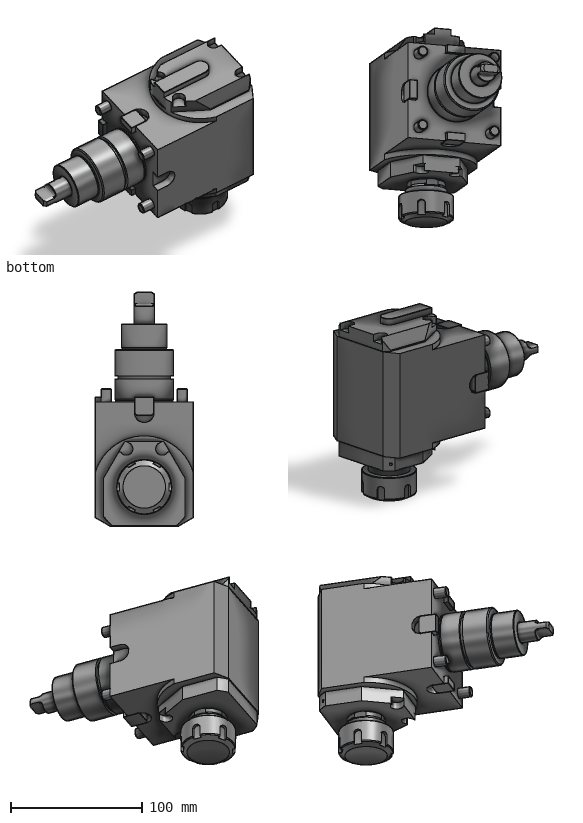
import cadquery as cq
import math


WIDTH = 75.0
HALF = WIDTH / 2
BACK_Y = 95.0
TALL_HALF = 42.0
CORNER_X = 11.5
CORNER_ANGLE = math.radians(30)
CORNER_Y = CORNER_X * math.tan(CORNER_ANGLE)
SPINDLE_Y = 65.0
DISC_R = 39.0

PLATE_BACK_Y = 94.3
PLATE_ANGLE = math.radians(60)
TOP_PLATE_Z = 53.0
TOP_PLATE_HALF = 29.0
TOP_PLATE_FRONT_Y = 27.0
TOP_PLATE_SIDE_FRONT_Y = 54.6
TOP_PLATE_RIM = 1.0
TOP_PLATE_CORNER = 4.25
BEVEL_ANGLE = math.radians(30)
BOTTOM_PLATE_Z = -54.0
BOTTOM_PLATE_HALF = 31.1
BOTTOM_PLATE_FRONT_Y = 30.2
BOTTOM_PLATE_SIDE_FRONT_Y = 58.3
BOTTOM_PLATE_R = 38.4

FRONT_SEAT_R = 4.9
BACK_SEAT_R = 4.5
SEAT_DEPTH = 5.5
FRONT_SEAT = (13.6, 35.9)
FRONT_SEAT_WALL_OFFSET = 2.45
FRONT_SEAT_WALL_ANGLE = math.radians(30)
BACK_SEAT = (18.6, 89.9)
SEAT_RUNOUT = 12.0

GUIDE_WIDTH = 13.5
GUIDE_TOP_Z = 58.0
GUIDE_EDGE = 0.3

PORT_D = 2.1
PORT_DEPTH = 5.0
PORT_Z = -48.5
PORT_ANGLE = math.radians(139.5)

KEYWAY_WIDTH = 15.0
KEYWAY_DEPTH = 6.2
KEYWAY_LENGTH = 15.8
KEY_WIDTH = 14.6
KEY_BACK_Y = 10.3
KEY_FRONT_Y = -3.6
KEY_CORNER = 1.5
KEY_EDGE = 0.25
SCREW_PITCH = 58.0
SCREW_D = 8.0
SCREW_LENGTH = 10.0
SCREW_CHAMFER = 0.7

COLLAR_R = 22.5
RELIEF_R = 22.0
RELIEF_Y = -1.1
COLLAR_START_Y = -2.2
GROOVE_R = 20.1
GROOVE_START_Y = -17.2
GROOVE_END_Y = -19.8
COLLAR_END_Y = -40.0
COLLAR_CHAMFER = 0.9
NECK_R = 17.0
PILOT_R = 17.5
PILOT_START_Y = -41.0
PILOT_END_Y = -59.4
PILOT_CHAMFER = 0.5
STUB_R = 7.85
PILOT_MOUTH_R = 8.5
PILOT_MOUTH_DEPTH = 0.6
TIP_Y = -83.7
TIP_R = 5.7
TIP_CHAMFER_LENGTH = 1.6

TANG_HALF = 2.95
TANG_START_Y = -73.1
TANG_FILLET = 2.0
TANG_SHOULDER_CHAMFER = 0.4
TANG_FACE_HALF = 5.5
TANG_BEVEL_DROP = 0.7

NOSE_R = 14.75
NOSE_FLAT = 14.0
NOSE_ROOT_R = 13.9
NOSE_START_Z = -55.0
NOSE_END_Z = -58.4
RING_R = 16.0
NOSE_FLAT_END_Z = -59.4
RING_SIDE_Z = -60.4
NUT_R = 21.0
NUT_TOP_Z = -65.2
NUT_EDGE = 0.5
NUT_SIDE_END_Z = -82.2
NUT_SHOULDER_R = 20.5
NUT_SHOULDER_Z = -83.1
NUT_FACE_R = 16.2
NUT_BOTTOM_Z = -85.38
NUT_SLOTS = 6
NUT_SLOT_WIDTH = 6.0
NUT_SLOT_DEPTH = 2.25
NUT_SLOT_TOP_Z = -72.5

QUARTER_TURNS = (0, 90, 180, 270)
EMPTY_KEYWAY_TURN = 90


def block(x_range, y_range, z_range):
    """Box spanning the given ranges."""
    size = [r[1] - r[0] for r in (x_range, y_range, z_range)]
    corner = (x_range[0], y_range[0], z_range[0])
    return cq.Workplane("XY").box(*size, centered=False).translate(corner)


def prism(points, z_low, z_high):
    """Closed XY outline raised from z_low to z_high."""
    return cq.Workplane("XY").workplane(offset=z_low).polyline(points).close().extrude(z_high - z_low)


def spindle_disc(radius, z_low, z_high):
    """Disc centred on the spindle axis."""
    disc = cq.Workplane("XY").workplane(offset=z_low).center(0, SPINDLE_Y).circle(radius)
    return disc.extrude(z_high - z_low)


def mirrored(points):
    """Add the mirror images in X to half an outline, running back again."""
    return points + [(-x, y) for x, y in reversed(points)]


def make_housing():
    front_block = block((-HALF, HALF), (0, BACK_Y), (-HALF, HALF))
    rear_block = block((-HALF, HALF), (SPINDLE_Y, BACK_Y), (-TALL_HALF, TALL_HALF))
    disc = spindle_disc(DISC_R, -TALL_HALF, TALL_HALF)
    outline = mirrored([
        (HALF, 0),
        (HALF, BACK_Y - CORNER_Y),
        (HALF - CORNER_X, BACK_Y),
    ])
    envelope = prism(outline, -TALL_HALF, TALL_HALF)
    return front_block.union(rear_block).union(disc).intersect(envelope)


def plate_outline(half_width, side_front_y, front_y):
    """Plate with a straight back and two slanting front sides."""
    front_x = half_width - (side_front_y - front_y) / math.tan(PLATE_ANGLE)
    return mirrored([(front_x, front_y), (half_width, side_front_y), (half_width, PLATE_BACK_Y)])


def seat_circle(radius, z_low, z_high):
    """Round part of a screw seat, centred on the origin."""
    return cq.Workplane("XY").workplane(offset=z_low).circle(radius).extrude(z_high - z_low)


def front_seats(z_low, z_high):
    """Pair of round seats open through the slanting sides.

    The front wall of each mouth is tangent to the seat, and the rear wall flares outwards.
    """
    x, y = FRONT_SEAT
    apex_x = -FRONT_SEAT_WALL_OFFSET / math.sin(FRONT_SEAT_WALL_ANGLE)
    mouth_half = (SEAT_RUNOUT - apex_x) * math.tan(FRONT_SEAT_WALL_ANGLE)
    mouth_outline = [
        (apex_x, 0),
        (SEAT_RUNOUT, mouth_half),
        (SEAT_RUNOUT, -FRONT_SEAT_R),
        (0, -FRONT_SEAT_R),
    ]
    seat = seat_circle(FRONT_SEAT_R, z_low, z_high).union(prism(mouth_outline, z_low, z_high))
    outward_angle = math.degrees(PLATE_ANGLE) - 90
    right_seat = seat.rotate((0, 0, 0), (0, 0, 1), outward_angle).translate((x, y, 0))
    return right_seat.union(right_seat.mirror("YZ"))


def back_seats(z_low, z_high):
    """Pair of round-ended seats running straight out through the back."""
    x, y = BACK_SEAT
    runout = block((-BACK_SEAT_R, BACK_SEAT_R), (0, SEAT_RUNOUT), (z_low, z_high))
    right_seat = seat_circle(BACK_SEAT_R, z_low, z_high).union(runout).translate((x, y, 0))
    return right_seat.union(right_seat.mirror("YZ"))


def make_top_plate():
    outline = plate_outline(TOP_PLATE_HALF, TOP_PLATE_SIDE_FRONT_Y, TOP_PLATE_FRONT_Y)
    plate = prism(outline, TALL_HALF, TOP_PLATE_Z)
    plate = plate.edges("|Z and >Y").chamfer(TOP_PLATE_CORNER)
    front_half = spindle_disc(DISC_R, TALL_HALF, TOP_PLATE_Z)
    rear_half = block((-HALF, HALF), (SPINDLE_Y, BACK_Y), (TALL_HALF, TOP_PLATE_Z))
    plate = plate.intersect(front_half.union(rear_half))
    rim_z = TALL_HALF + TOP_PLATE_RIM
    upper_half = TOP_PLATE_HALF - (TOP_PLATE_Z - rim_z) * math.tan(BEVEL_ANGLE)
    section = mirrored([
        (TOP_PLATE_HALF, TALL_HALF),
        (TOP_PLATE_HALF, rim_z),
        (upper_half, TOP_PLATE_Z),
    ])
    plate = plate.intersect(cq.Workplane("XZ").polyline(section).close().extrude(-BACK_Y))
    seat_floor = TOP_PLATE_Z - SEAT_DEPTH
    plate = plate.cut(front_seats(seat_floor, TOP_PLATE_Z))
    return plate.cut(back_seats(seat_floor, TOP_PLATE_Z))


def make_guide_key():
    radius = GUIDE_WIDTH / 2
    key = block((-radius, radius), (TOP_PLATE_FRONT_Y, SPINDLE_Y), (TALL_HALF, GUIDE_TOP_Z))
    key = key.union(spindle_disc(radius, TALL_HALF, GUIDE_TOP_Z))
    return key.faces(">Z").chamfer(GUIDE_EDGE)


def make_bottom_plate():
    outline = plate_outline(BOTTOM_PLATE_HALF, BOTTOM_PLATE_SIDE_FRONT_Y, BOTTOM_PLATE_FRONT_Y)
    plate = prism(outline, BOTTOM_PLATE_Z, -TALL_HALF)
    rounding = spindle_disc(BOTTOM_PLATE_R, BOTTOM_PLATE_Z, -TALL_HALF)
    front = block((-HALF, HALF), (0, SPINDLE_Y), (BOTTOM_PLATE_Z, -TALL_HALF))
    plate = plate.intersect(rounding.union(front))
    plate = plate.cut(front_seats(BOTTOM_PLATE_Z, BOTTOM_PLATE_Z + SEAT_DEPTH))
    outward = cq.Vector(math.cos(PORT_ANGLE), math.sin(PORT_ANGLE), 0)
    mouth = cq.Vector(0, SPINDLE_Y, PORT_Z) + outward * BOTTOM_PLATE_R
    port = cq.Solid.makeCylinder(PORT_D / 2, PORT_DEPTH, mouth, outward * -1)
    return plate.cut(cq.Workplane(port))


def make_keyway():
    """Round-ended pocket in the top face, open at the mounting face."""
    radius = KEYWAY_WIDTH / 2
    centre_y = KEYWAY_LENGTH - radius
    floor_z = HALF - KEYWAY_DEPTH
    straight = block((-radius, radius), (0, centre_y), (floor_z, HALF))
    end = cq.Workplane("XY").workplane(offset=floor_z).center(0, centre_y).circle(radius)
    return straight.union(end.extrude(KEYWAY_DEPTH))


def make_locating_key():
    """Key seated in the top keyway and standing out of the mounting face."""
    half_width = KEY_WIDTH / 2
    key = block((-half_width, half_width), (KEY_FRONT_Y, KEY_BACK_Y), (HALF - KEYWAY_DEPTH, HALF))
    key = key.edges("|Z and >Y").chamfer(KEY_CORNER)
    return key.faces("<Y or >Z").chamfer(KEY_EDGE)


def make_screws():
    screws = cq.Workplane("XZ").rect(SCREW_PITCH, SCREW_PITCH, forConstruction=True).vertices()
    screws = screws.circle(SCREW_D / 2).extrude(SCREW_LENGTH)
    return screws.faces("<Y").chamfer(SCREW_CHAMFER)


def make_shank():
    profile = [
        (0, 0),
        (RELIEF_R, 0),
        (RELIEF_R, RELIEF_Y),
        (COLLAR_R, COLLAR_START_Y),
        (COLLAR_R, GROOVE_START_Y),
        (GROOVE_R, GROOVE_START_Y),
        (GROOVE_R, GROOVE_END_Y),
        (COLLAR_R, GROOVE_END_Y),
        (COLLAR_R, COLLAR_END_Y + COLLAR_CHAMFER),
        (COLLAR_R - COLLAR_CHAMFER, COLLAR_END_Y),
        (NECK_R, COLLAR_END_Y),
        (NECK_R, PILOT_START_Y),
        (PILOT_R, PILOT_START_Y - PILOT_CHAMFER),
        (PILOT_R, PILOT_END_Y + PILOT_CHAMFER),
        (PILOT_R - PILOT_CHAMFER, PILOT_END_Y),
        (PILOT_MOUTH_R, PILOT_END_Y),
        (STUB_R, PILOT_END_Y + PILOT_MOUTH_DEPTH),
        (STUB_R, TIP_Y + TIP_CHAMFER_LENGTH),
        (TIP_R, TIP_Y),
        (0, TIP_Y),
    ]
    shank = cq.Workplane("XY").polyline(profile).close().revolve(360, (0, 0, 0), (0, 1, 0))
    shank = shank.cut(make_tang_relief())
    for side in (-1, 1):
        rim_point = (0, TANG_START_Y, side * STUB_R)
        shank = shank.edges(cq.selectors.NearestToPointSelector(rim_point)).chamfer(TANG_SHOULDER_CHAMFER)
    return shank


def make_tang_relief():
    """Material removed above and below the tang, with a fillet at its root."""
    upper = block((-STUB_R, STUB_R), (TIP_Y, TANG_START_Y), (TANG_HALF, STUB_R))
    upper = upper.edges("|X and >Y and <Z").fillet(TANG_FILLET)
    bevel_section = [
        (TANG_FACE_HALF, TANG_HALF),
        (STUB_R, TANG_HALF),
        (STUB_R, TANG_HALF - TANG_BEVEL_DROP),
    ]
    bevel_length = TANG_START_Y - TANG_FILLET - TIP_Y
    bevel = cq.Workplane("XZ", origin=(0, TIP_Y, 0)).polyline(bevel_section).close()
    bevel = bevel.extrude(-bevel_length)
    upper = upper.union(bevel).union(bevel.mirror("YZ"))
    return upper.union(upper.mirror("XY"))


def make_spindle():
    profile = [
        (0, BOTTOM_PLATE_Z),
        (NOSE_ROOT_R, BOTTOM_PLATE_Z),
        (NOSE_R, NOSE_START_Z),
        (NOSE_R, NOSE_END_Z),
        (RING_R, RING_SIDE_Z),
        (RING_R, NUT_TOP_Z),
        (NUT_R - NUT_EDGE, NUT_TOP_Z),
        (NUT_R, NUT_TOP_Z - NUT_EDGE),
        (NUT_R, NUT_SIDE_END_Z),
        (NUT_SHOULDER_R, NUT_SHOULDER_Z),
        (NUT_FACE_R, NUT_BOTTOM_Z),
        (0, NUT_BOTTOM_Z),
    ]
    spindle = cq.Workplane("XZ").polyline(profile).close().revolve(360, (0, 0, 0), (0, 1, 0))
    flat = block((NOSE_FLAT, NUT_R), (-NUT_R, NUT_R), (NOSE_FLAT_END_Z, BOTTOM_PLATE_Z))
    for angle in QUARTER_TURNS:
        spindle = spindle.cut(flat.rotate((0, 0, 0), (0, 0, 1), angle))
    slot = make_nut_slot()
    for index in range(NUT_SLOTS):
        spindle = spindle.cut(slot.rotate((0, 0, 0), (0, 0, 1), index * 360 / NUT_SLOTS))
    return spindle.translate((0, SPINDLE_Y, 0))


def make_nut_slot():
    """Round-topped spanner slot with a flat floor, on the +X side of the nut."""
    half_width = NUT_SLOT_WIDTH / 2
    arc_z = NUT_SLOT_TOP_Z - half_width
    slot = (
        cq.Workplane("YZ", origin=(NUT_R - NUT_SLOT_DEPTH, 0, 0))
        .moveTo(-half_width, NUT_BOTTOM_Z)
        .lineTo(-half_width, arc_z)
        .threePointArc((0, NUT_SLOT_TOP_Z), (half_width, arc_z))
        .lineTo(half_width, NUT_BOTTOM_Z)
        .close()
    )
    return slot.extrude(NUT_SLOT_DEPTH)


part = make_housing()
keyway = make_keyway()
locating_key = make_locating_key()
for angle in QUARTER_TURNS:
    part = part.cut(keyway.rotate((0, 0, 0), (0, 1, 0), angle))
    if angle != EMPTY_KEYWAY_TURN:
        part = part.union(locating_key.rotate((0, 0, 0), (0, 1, 0), angle))

for feature in (
    make_top_plate(),
    make_guide_key(),
    make_bottom_plate(),
    make_screws(),
    make_shank(),
    make_spindle(),
):
    part = part.union(feature)

result = part